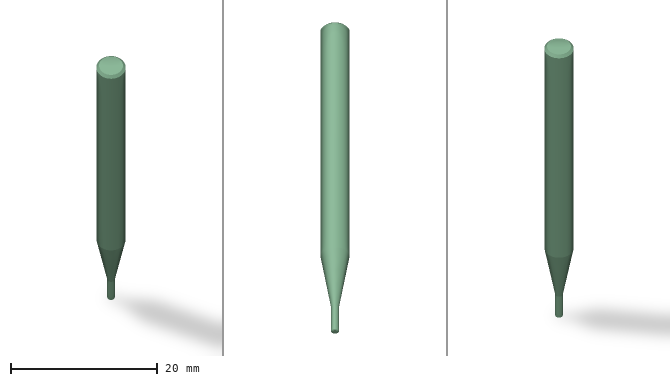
import cadquery as cq

total_length = 50.0
shank_diameter = 4.0
tip_diameter = 1.05
tip_length = 4.0
taper_length = 8.6
shank_end_diameter = 3.25
tip_chamfer = 0.1

shank_radius = shank_diameter / 2
tip_radius = tip_diameter / 2
shank_chamfer = (shank_diameter - shank_end_diameter) / 2
shank_length = total_length - tip_length - taper_length
tip_end = -total_length / 2
taper_start = tip_end + tip_length

tip = (
    cq.Workplane("XY", origin=(0, 0, tip_end))
    .circle(tip_radius)
    .extrude(tip_length)
    .faces("<Z")
    .chamfer(tip_chamfer)
)

taper = cq.Workplane(
    cq.Solid.makeCone(tip_radius, shank_radius, taper_length, pnt=cq.Vector(0, 0, taper_start))
)

shank = (
    cq.Workplane("XY", origin=(0, 0, taper_start + taper_length))
    .circle(shank_radius)
    .extrude(shank_length)
    .faces(">Z")
    .chamfer(shank_chamfer)
)

result = tip.union(taper).union(shank)